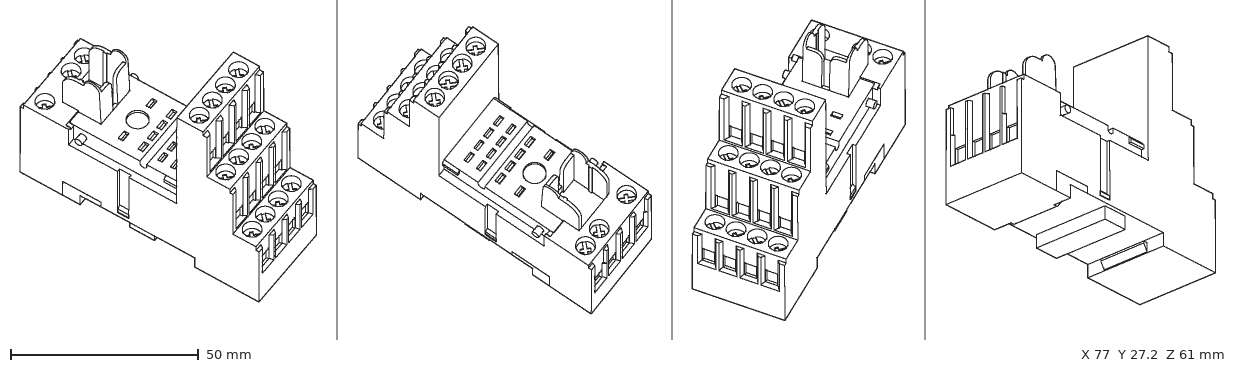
import cadquery as cq
import math

LENGTH = 77.0
BASE_WIDTH = 27.2
TOP_WIDTH = 26.65
HEIGHT = 61.0

FRONT_TOP = 30.1
DECK_TOP = 29.6
LEDGE_TOP = 23.5
MIDDLE_TIER_TOP = 42.35
FRONT_END = 15.6
DECK_START = 14.2
TOWER_START = 50.35
TOWER_END = 60.1
MIDDLE_TIER_END = 68.5
LIP_DROP = 1.55
LIP_DEPTH = 1.0
TOWER_LIP_DEPTH = 1.3

DECK_HALF = 11.1
CORNER_RAMP_HALF = 12.6
CORNER_RAMP_DROP = 0.9
GROOVE_X = 38.0
GROOVE_RADIUS = 1.1
GROOVE_BOTTOM = 27.6
DIMPLE_X = 28.65
DIMPLE_DIAMETER = 6.15
DIMPLE_DEPTH = 0.9
CONTACT_PITCH = 4.4
CONTACT_LENGTH = 2.85
CONTACT_DEPTH = 0.9
SPLAYED_CONTACT = (1.55, 0.55)
BROAD_CONTACT = (1.55, 0.8)
NARROW_CONTACT = (1.3, 0.8)
CONTACT_COLUMNS = (
    (DIMPLE_X, (-3, 3), SPLAYED_CONTACT),
    (35.0, (-3, -1, 1, 3), BROAD_CONTACT),
    (41.3, (-3, -1, 1, 3), NARROW_CONTACT),
    (45.35, (-3, -1, 1, 3), NARROW_CONTACT),
)
BEAD_START = 45.3
BEAD_WIDTH = 0.85
BEAD_SLOPE_END = 28.6
BEAD_BOTTOM = 27.5

TERMINAL_PITCH = 6.15
TERMINAL_ROWS = (-1.5, -0.5, 0.5, 1.5)
SCREW_DIAMETER = 5.2
SCREW_DEPTH = 3.1
SCREW_SLOT_WIDTH = 1.0
SCREW_SLOT_DEPTH = 0.4
SCREW_CROSS_LENGTH = 2.9
FRONT_SCREW_X = 5.1
TOWER_SCREW_X = 54.8
MIDDLE_SCREW_X = 63.3
REAR_SCREW_X = 71.85
FRONT_SCREW_ROWS = ((-1.5, 45), (0.5, -45), (1.5, -45))
REAR_SCREW_ROWS = ((-1.5, 45), (-0.5, -45), (0.5, 45), (1.5, -45))

ENTRY_WIDTH = 5.4
ENTRY_BACK_WIDTH = 3.85
ENTRY_BOTTOM = 10.9
ENTRY_BACK_BOTTOM = 11.7
UPPER_ENTRY_SILL = 0.8
ENTRY_WIDE_BACK = 4.85
ENTRY_STEP = 20.4
WIRE_HOLE_WIDTH = 3.55
WIRE_HOLE_INNER_WIDTH = 3.3
WIRE_HOLE_HEIGHT = 4.6
WIRE_HOLE_DEPTH = 0.8

RAIL_START = 19.4
RAIL_END = 56.3
RAIL_DEPTH = 4.0
FOOT_START = 13.8
FOOT_END = 26.1
FOOT_TOP = 6.1
TAB_START = 34.5
TAB_LENGTH = 8.0
TAB_WIDTH = 24.65
HOOK_WIDTH = 15.4
HOOK_LEVEL = 3.1
HOOK_BEVEL_BOTTOM = 0.3
FRONT_HOOK_NECK = 21.5
FRONT_HOOK_TIP = 23.1
FRONT_HOOK_BEVEL_END = 20.95
FRONT_HOOK_FLAT_END = 20.5
REAR_HOOK_TIP = 55.0
REAR_HOOK_NOSE = 0.6

SIDE_SLOT_START = 31.4
SIDE_SLOT_LENGTH = 3.6
SIDE_SLOT_DEPTH = 1.1
SIDE_SLOT_SHALLOW = 0.2
SIDE_SLOT_BOTTOM = 5.55
SIDE_SLOT_RAMP = (6.85, 7.7)

CLIP_START = 9.0
CLIP_END = 21.5
CLIP_HALF = 6.8
CLIP_INNER_HALF = 5.8
CLIP_FLOOR_END = 20.5
CLIP_FLOOR = 26.25
CLIP_BOTTOM = 25.0
CLIP_SHOULDER = 42.35
CLIP_CORNER_RADIUS = 4.4
EAR_X = 18.4
EAR_RADIUS = 2.55
EAR_TIP_THINNING = 0.5
CLIP_RIB_START = 13.8
CLIP_RIB_LENGTH = 1.1
CLIP_RIB_HEIGHT = 0.3
PIVOT_X = 18.6
PIVOT_Z = 26.6
PIVOT_DIAMETER = 2.2
PIVOT_TIP = 13.3
FLANGE_START = 19.95
FLANGE_INNER_HALF = 1.15
FLANGE_RADIUS = 2.3


def box(x0, x1, y0, y1, z0, z1):
    """Axis-aligned block given by its limits."""
    return cq.Workplane("XY").box(x1 - x0, y1 - y0, z1 - z0, centered=False).translate((x0, y0, z0))


def extrude_across(outline, width):
    """Extrude an XZ outline symmetrically about Y = 0."""
    return outline.extrude(width / 2, both=True)


def prism_along_x(points, x0, x1):
    """Extrude a YZ polygon from x0 to x1."""
    return cq.Workplane("YZ", origin=(x0, 0, 0)).polyline(points).close().extrude(x1 - x0)


def both_sides(shape):
    """A shape together with its mirror image across Y = 0."""
    return shape.union(shape.mirror("XZ"))


def pivot_bar():
    """Round bar across the width: the clip's pivot axis, and the bore it turns in."""
    outline = cq.Workplane("XZ").center(PIVOT_X, PIVOT_Z).circle(PIVOT_DIAMETER / 2)
    return extrude_across(outline, 2 * PIVOT_TIP)


def clip_well():
    """Rectangular well in which the retaining clip stands."""
    return box(CLIP_START, CLIP_END, -CLIP_HALF, CLIP_HALF, CLIP_BOTTOM, FRONT_TOP)


def housing_blank():
    """Stepped side profile across the full width, with the drafted long sides."""
    profile = cq.Workplane("XZ").polyline([
        (0, 0),
        (0, FRONT_TOP - LIP_DROP),
        (LIP_DEPTH, FRONT_TOP - LIP_DROP),
        (LIP_DEPTH, FRONT_TOP),
        (FRONT_END, FRONT_TOP),
        (FRONT_END, DECK_TOP),
        (TOWER_START, DECK_TOP),
        (TOWER_START, HEIGHT),
        (TOWER_END - TOWER_LIP_DEPTH, HEIGHT),
        (TOWER_END - TOWER_LIP_DEPTH, HEIGHT - LIP_DROP),
        (TOWER_END, HEIGHT - LIP_DROP),
        (TOWER_END, MIDDLE_TIER_TOP),
        (MIDDLE_TIER_END - LIP_DEPTH, MIDDLE_TIER_TOP),
        (MIDDLE_TIER_END - LIP_DEPTH, MIDDLE_TIER_TOP - LIP_DROP),
        (MIDDLE_TIER_END, MIDDLE_TIER_TOP - LIP_DROP),
        (MIDDLE_TIER_END, LEDGE_TOP),
        (LENGTH - LIP_DEPTH, LEDGE_TOP),
        (LENGTH - LIP_DEPTH, LEDGE_TOP - LIP_DROP),
        (LENGTH, LEDGE_TOP - LIP_DROP),
        (LENGTH, 0),
        (RAIL_END, 0),
        (RAIL_END, RAIL_DEPTH),
        (RAIL_START, RAIL_DEPTH),
        (RAIL_START, 0),
    ]).close()
    drafted_sides = prism_along_x([
        (-BASE_WIDTH / 2, 0),
        (BASE_WIDTH / 2, 0),
        (TOP_WIDTH / 2, HEIGHT),
        (-TOP_WIDTH / 2, HEIGHT),
    ], 0, LENGTH)
    return extrude_across(profile, BASE_WIDTH).intersect(drafted_sides)


def deck_cuts():
    """Ledges beside the deck, the step at its front end and the ramps at the block corners."""
    ledge = box(FRONT_END, TOWER_START, DECK_HALF, BASE_WIDTH, LEDGE_TOP, DECK_TOP)
    corner_ramp = (
        cq.Workplane("XZ", origin=(0, DECK_HALF, 0))
        .polyline([
            (DECK_START, FRONT_TOP),
            (FRONT_END, FRONT_TOP),
            (FRONT_END, FRONT_TOP - CORNER_RAMP_DROP),
        ])
        .close()
        .extrude(DECK_HALF - CORNER_RAMP_HALF)
    )
    front_step = box(DECK_START, FRONT_END, -DECK_HALF, DECK_HALF, DECK_TOP, FRONT_TOP)
    return both_sides(ledge.union(corner_ramp)).union(front_step)


def deck_groove():
    """Round-bottomed groove across the deck."""
    axis_z = GROOVE_BOTTOM + GROOVE_RADIUS
    outline = (
        cq.Workplane("XZ")
        .moveTo(GROOVE_X - GROOVE_RADIUS, DECK_TOP)
        .lineTo(GROOVE_X - GROOVE_RADIUS, axis_z)
        .threePointArc((GROOVE_X, GROOVE_BOTTOM), (GROOVE_X + GROOVE_RADIUS, axis_z))
        .lineTo(GROOVE_X + GROOVE_RADIUS, DECK_TOP)
        .close()
    )
    return extrude_across(outline, 2 * DECK_HALF)


def contact_slots():
    """Rows of contact slots whose long walls slope in to a narrower floor."""
    slots = cq.Workplane("XY")
    for x, rows, (mouth, floor) in CONTACT_COLUMNS:
        outline = cq.Workplane("XZ").polyline([
            (x - mouth / 2, DECK_TOP),
            (x + mouth / 2, DECK_TOP),
            (x + floor / 2, DECK_TOP - CONTACT_DEPTH),
            (x - floor / 2, DECK_TOP - CONTACT_DEPTH),
        ]).close()
        slot = extrude_across(outline, CONTACT_LENGTH)
        for row in rows:
            slots = slots.add(slot.translate((0, row * CONTACT_PITCH / 2, 0)))
    return slots.combine()


def deck_dimple():
    """Shallow round recess in the deck."""
    return (
        cq.Workplane("XY", origin=(DIMPLE_X, 0, DECK_TOP - DIMPLE_DEPTH))
        .circle(DIMPLE_DIAMETER / 2).extrude(DIMPLE_DEPTH)
    )


def deck_beads():
    """Wedge-shaped beads on the deck sides, next to the tower."""
    outer = DECK_HALF + BEAD_WIDTH
    bead = prism_along_x([
        (DECK_HALF, DECK_TOP),
        (outer, BEAD_SLOPE_END),
        (outer, BEAD_BOTTOM),
        (DECK_HALF, BEAD_BOTTOM),
    ], BEAD_START, TOWER_START)
    return both_sides(bead)


def screw_well(x, y, top, angle):
    """Round well down to a screw head with one long slot and one short cross slot."""
    head = top - SCREW_DEPTH
    well = cq.Workplane("XY", origin=(x, y, head)).circle(SCREW_DIAMETER / 2).extrude(SCREW_DEPTH)
    slots_plane = cq.Workplane("XY").workplane(offset=-SCREW_SLOT_DEPTH)
    long_slot = slots_plane.rect(SCREW_DIAMETER, SCREW_SLOT_WIDTH).extrude(SCREW_SLOT_DEPTH)
    cross_slot = slots_plane.rect(SCREW_SLOT_WIDTH, SCREW_CROSS_LENGTH).extrude(SCREW_SLOT_DEPTH)
    head_disc = slots_plane.circle(SCREW_DIAMETER / 2).extrude(SCREW_SLOT_DEPTH)
    recess = long_slot.union(cross_slot).intersect(head_disc)
    return well.union(recess.rotate((0, 0, 0), (0, 0, 1), angle).translate((x, y, head)))


def screw_wells():
    """Screw wells of the front block and of the three rear tiers."""
    tiers = (
        (FRONT_SCREW_X, FRONT_TOP, FRONT_SCREW_ROWS),
        (TOWER_SCREW_X, HEIGHT, REAR_SCREW_ROWS),
        (MIDDLE_SCREW_X, MIDDLE_TIER_TOP, REAR_SCREW_ROWS),
        (REAR_SCREW_X, LEDGE_TOP, REAR_SCREW_ROWS),
    )
    wells = cq.Workplane("XY")
    for x, top, rows in tiers:
        for row, angle in rows:
            wells = wells.add(screw_well(x, row * TERMINAL_PITCH, top, angle))
    return wells.combine()


def tapered_pocket(depth, bottom, back_bottom, top, width, back_width):
    """Pocket going into +X from X = 0, narrower and higher-floored at its back."""
    frustum = (
        cq.Workplane("YZ", origin=(0, 0, top)).rect(width, 2 * (top - bottom))
        .workplane(offset=depth).rect(back_width, 2 * (top - back_bottom))
        .loft(ruled=True)
    )
    return frustum.intersect(box(0, depth, -width, width, bottom, top))


def wire_entry(depth, bottom, back_bottom, top):
    """Tapered pocket with a wire hole at the foot of its back wall, entered from X = 0."""
    pocket = tapered_pocket(depth, bottom, back_bottom, top, ENTRY_WIDTH, ENTRY_BACK_WIDTH)
    hole = (
        cq.Workplane("YZ", origin=(depth, 0, back_bottom + WIRE_HOLE_HEIGHT / 2))
        .rect(WIRE_HOLE_WIDTH, WIRE_HOLE_HEIGHT)
        .workplane(offset=WIRE_HOLE_DEPTH).rect(WIRE_HOLE_INNER_WIDTH, WIRE_HOLE_HEIGHT)
        .loft(ruled=True)
    )
    return pocket.union(hole)


def front_entries():
    """Wire entries of the front end face; the two outer ones widen towards the top."""
    top = FRONT_TOP - LIP_DROP
    entry = wire_entry(LIP_DEPTH, ENTRY_BOTTOM, ENTRY_BACK_BOTTOM, top)
    widening = tapered_pocket(LIP_DEPTH, ENTRY_STEP, ENTRY_STEP, top, ENTRY_WIDTH, ENTRY_WIDE_BACK)
    entries = cq.Workplane("XY")
    for row in TERMINAL_ROWS:
        outer = abs(row) == max(TERMINAL_ROWS)
        shape = entry.union(widening) if outer else entry
        entries = entries.add(shape.translate((0, row * TERMINAL_PITCH, 0)))
    return entries.combine()


def rear_entries():
    """Wire entries of the three rear tiers; those of the upper two have level floors."""
    tower_sill = MIDDLE_TIER_TOP + UPPER_ENTRY_SILL
    middle_sill = LEDGE_TOP + UPPER_ENTRY_SILL
    tiers = (
        (TOWER_END, TOWER_LIP_DEPTH, tower_sill, tower_sill, HEIGHT),
        (MIDDLE_TIER_END, LIP_DEPTH, middle_sill, middle_sill, MIDDLE_TIER_TOP),
        (LENGTH, LIP_DEPTH, ENTRY_BOTTOM, ENTRY_BACK_BOTTOM, LEDGE_TOP),
    )
    entries = cq.Workplane("XY")
    for face_x, depth, bottom, back_bottom, top in tiers:
        entry = wire_entry(depth, bottom, back_bottom, top - LIP_DROP).mirror("YZ")
        for row in TERMINAL_ROWS:
            entries = entries.add(entry.translate((face_x, row * TERMINAL_PITCH, 0)))
    return entries.combine()


def side_slots():
    """Upright slots in both long sides, stepping out over a short ramp near the bottom."""
    face = BASE_WIDTH / 2
    deep = face - SIDE_SLOT_DEPTH
    shallow = face - SIDE_SLOT_SHALLOW
    ramp_start, ramp_end = SIDE_SLOT_RAMP
    slot = prism_along_x([
        (face, SIDE_SLOT_BOTTOM),
        (shallow, SIDE_SLOT_BOTTOM),
        (shallow, ramp_start),
        (deep, ramp_end),
        (deep, LEDGE_TOP),
        (face, LEDGE_TOP),
    ], SIDE_SLOT_START, SIDE_SLOT_START + SIDE_SLOT_LENGTH)
    return both_sides(slot)


def rail_foot():
    """Upright-sided foot standing against the front wall of the rail channel."""
    outline = cq.Workplane("XZ").polyline([
        (FOOT_START, 0),
        (RAIL_START, 0),
        (RAIL_START, RAIL_DEPTH),
        (FOOT_END, RAIL_DEPTH),
        (FOOT_END, FOOT_TOP),
        (FOOT_START, FOOT_TOP),
    ]).close()
    return extrude_across(outline, BASE_WIDTH)


def rail_tab():
    """Block in the middle of the rail channel."""
    half = TAB_WIDTH / 2
    return box(TAB_START, TAB_START + TAB_LENGTH, -half, half, 0, RAIL_DEPTH)


def rail_hooks():
    """Hooks that grip a mounting rail, one at each end of the channel."""
    front_hook = cq.Workplane("XZ").polyline([
        (RAIL_START, RAIL_DEPTH),
        (FRONT_HOOK_NECK, RAIL_DEPTH),
        (FRONT_HOOK_NECK, HOOK_LEVEL),
        (FRONT_HOOK_TIP, HOOK_LEVEL),
        (FRONT_HOOK_BEVEL_END, HOOK_BEVEL_BOTTOM),
        (FRONT_HOOK_FLAT_END, 0),
        (RAIL_START, 0),
    ]).close()
    rear_hook = cq.Workplane("XZ").polyline([
        (RAIL_END, HOOK_LEVEL),
        (REAR_HOOK_TIP, HOOK_LEVEL),
        (REAR_HOOK_TIP, HOOK_LEVEL - REAR_HOOK_NOSE),
        (RAIL_END, HOOK_BEVEL_BOTTOM),
    ]).close()
    return extrude_across(front_hook, HOOK_WIDTH).union(extrude_across(rear_hook, HOOK_WIDTH))


def clip_seat():
    """Room for the retaining clip: its well and the bore for its pivot pins."""
    return clip_well().union(pivot_bar())


def make_housing():
    return (
        housing_blank()
        .cut(deck_cuts())
        .cut(deck_groove())
        .cut(contact_slots())
        .cut(deck_dimple())
        .cut(screw_wells())
        .cut(front_entries())
        .cut(rear_entries())
        .cut(side_slots())
        .cut(clip_seat())
        .union(deck_beads())
        .union(rail_foot())
        .union(rail_tab())
        .union(rail_hooks())
    )


def clip_floor():
    """Sunken floor plate, with a strip along its rear edge that rises level with the deck."""
    plate = box(CLIP_START, CLIP_FLOOR_END, -CLIP_HALF, CLIP_HALF, CLIP_BOTTOM, CLIP_FLOOR)
    strip = box(CLIP_FLOOR_END, CLIP_END, -CLIP_HALF, CLIP_HALF, CLIP_BOTTOM, DECK_TOP)
    return plate.union(strip)


def clip_pins():
    """Pivot pins standing out from both side plates."""
    return pivot_bar().cut(clip_well())


def clip_cheek():
    """Side plate on +Y with a rounded front corner and a round thumb ear, thinned towards its tip."""
    ear_start = EAR_X - EAR_RADIUS
    ear_end = EAR_X + EAR_RADIUS
    ear_top = CLIP_SHOULDER + EAR_RADIUS
    corner_inset = CLIP_CORNER_RADIUS * (1 - math.sqrt(0.5))
    plate = (
        cq.Workplane("XZ", origin=(0, CLIP_HALF, 0))
        .moveTo(CLIP_START, CLIP_BOTTOM)
        .lineTo(CLIP_START, CLIP_SHOULDER - CLIP_CORNER_RADIUS)
        .threePointArc(
            (CLIP_START + corner_inset, CLIP_SHOULDER - corner_inset),
            (CLIP_START + CLIP_CORNER_RADIUS, CLIP_SHOULDER),
        )
        .lineTo(ear_start, CLIP_SHOULDER)
        .threePointArc((EAR_X, ear_top), (ear_end, CLIP_SHOULDER))
        .lineTo(CLIP_END, DECK_TOP)
        .lineTo(CLIP_END, CLIP_BOTTOM)
        .close()
        .extrude(CLIP_HALF - CLIP_INNER_HALF)
    )
    thinning = prism_along_x([
        (CLIP_INNER_HALF, CLIP_SHOULDER),
        (CLIP_INNER_HALF + EAR_TIP_THINNING, ear_top),
        (CLIP_INNER_HALF, ear_top),
    ], ear_start, ear_end)
    return plate.cut(thinning)


def clip_rib():
    """Upright rib on the inner face of the +Y side plate."""
    return box(
        CLIP_RIB_START, CLIP_RIB_START + CLIP_RIB_LENGTH,
        CLIP_INNER_HALF - CLIP_RIB_HEIGHT, CLIP_INNER_HALF,
        CLIP_BOTTOM, CLIP_SHOULDER,
    )


def clip_flange():
    """Rear wall on the +Y side with a rounded inner top corner and a leaning rear face."""
    corner_inset = FLANGE_RADIUS * (1 - math.sqrt(0.5))
    front_shape = (
        cq.Workplane("YZ", origin=(FLANGE_START, 0, 0))
        .moveTo(CLIP_INNER_HALF, CLIP_BOTTOM)
        .lineTo(CLIP_INNER_HALF, CLIP_SHOULDER)
        .lineTo(FLANGE_INNER_HALF + FLANGE_RADIUS, CLIP_SHOULDER)
        .threePointArc(
            (FLANGE_INNER_HALF + corner_inset, CLIP_SHOULDER - corner_inset),
            (FLANGE_INNER_HALF, CLIP_SHOULDER - FLANGE_RADIUS),
        )
        .lineTo(FLANGE_INNER_HALF, CLIP_BOTTOM)
        .close()
        .extrude(CLIP_END - FLANGE_START)
    )
    leaning_side = cq.Workplane("XZ").polyline([
        (FLANGE_START, CLIP_BOTTOM),
        (CLIP_END, CLIP_BOTTOM),
        (CLIP_END, DECK_TOP),
        (EAR_X + EAR_RADIUS, CLIP_SHOULDER),
        (FLANGE_START, CLIP_SHOULDER),
    ]).close()
    return front_shape.intersect(extrude_across(leaning_side, 2 * CLIP_HALF))


def make_clip():
    side = clip_cheek().union(clip_rib()).union(clip_flange())
    return clip_floor().union(both_sides(side)).union(clip_pins())


housing = make_housing()
clip = make_clip()
result = cq.Compound.makeCompound([housing.solids().val(), clip.solids().val()])